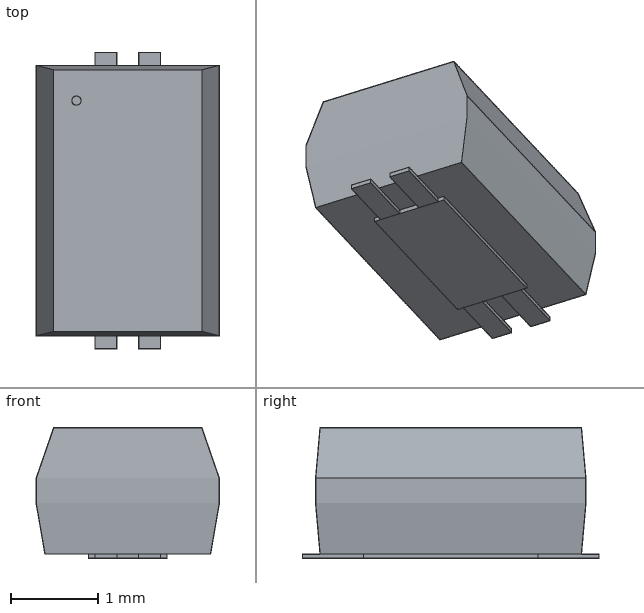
import cadquery as cq

overall_length = 3.4
overall_height = 1.5
metal_thickness = 0.05

belt_width = 2.1
belt_length = 3.1
end_length = 3.0
top_width = 1.7
bottom_width = 1.9
housing_height = overall_height - metal_thickness
belt_height = housing_height / 5
taper_height = (housing_height - belt_height) / 2
belt_bottom = metal_thickness + taper_height
belt_top = belt_bottom + belt_height

pad_width = 0.9
pad_length = 2.0
lead_width = 0.25
lead_pitch = 0.5
lead_length = (overall_length - pad_length) / 2

marker_diameter = 0.105
marker_depth = 0.05
marker_x = -0.588
marker_y = 1.145


def make_frustum(z, height, lower_size, upper_size):
    """Rectangular block on the Z axis whose width and length change with height."""
    return (
        cq.Workplane("XY", origin=(0, 0, z))
        .rect(*lower_size)
        .workplane(offset=height)
        .rect(*upper_size)
        .loft(ruled=True)
    )


def make_marker():
    return (
        cq.Workplane("XY", origin=(marker_x, marker_y, overall_height - marker_depth))
        .circle(marker_diameter / 2)
        .extrude(marker_depth)
    )


def make_housing():
    belt_size = (belt_width, belt_length)
    lower_half = make_frustum(metal_thickness, taper_height, (bottom_width, end_length), belt_size)
    belt = make_frustum(belt_bottom, belt_height, belt_size, belt_size)
    upper_half = make_frustum(belt_top, taper_height, belt_size, (top_width, end_length))
    return lower_half.union(belt).union(upper_half).cut(make_marker())


def make_pad():
    return cq.Workplane("XY").box(pad_width, pad_length, metal_thickness, centered=(True, True, False))


def make_lead(x_side, y_side):
    """Flat lead in the quadrant given by the two signs."""
    lead_x = x_side * lead_pitch / 2
    lead_y = y_side * (overall_length - lead_length) / 2
    return cq.Workplane("XY", origin=(lead_x, lead_y, 0)).box(
        lead_width, lead_length, metal_thickness, centered=(True, True, False)
    )


housing = make_housing()
marker = make_marker()
pad = make_pad()
leads = [make_lead(x_side, y_side) for x_side in (-1, 1) for y_side in (-1, 1)]

result = cq.Compound.makeCompound(
    [housing.solids().val(), marker.val(), pad.val(), *[lead.val() for lead in leads]]
)